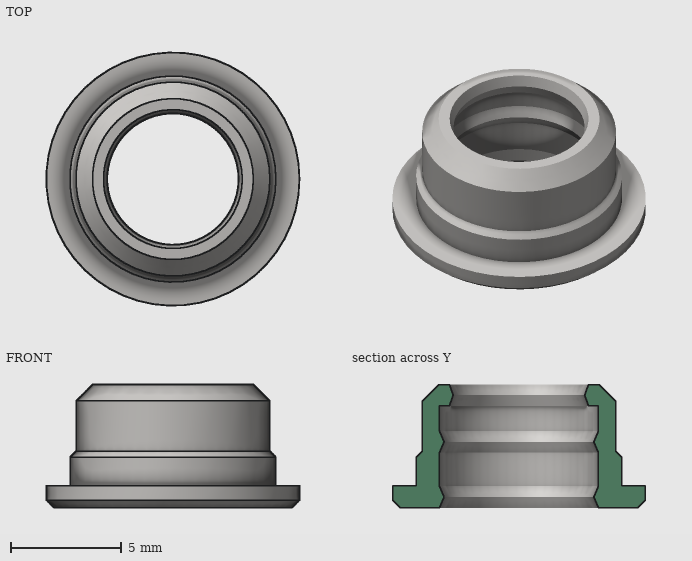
import cadquery as cq

total_height = 5.6
flange_thickness = 1.0
collar_top = 2.3

flange_diameter = 11.5
collar_diameter = 9.35
sleeve_diameter = 8.8
flange_chamfer = 0.35
sleeve_chamfer = 0.75

bore_diameter = 7.2
ridge_half_width = 0.49
ridge_height = 0.21
middle_ridge_top = 3.48

mouth_diameter = 6.3
mouth_ridge_height = 0.175

flange_radius = flange_diameter / 2
collar_radius = collar_diameter / 2
sleeve_radius = sleeve_diameter / 2
bore_radius = bore_diameter / 2
mouth_radius = mouth_diameter / 2
collar_chamfer = collar_radius - sleeve_radius


def outside_points():
    """Outer outline as (radius, height), from the underside up to the top face."""
    return [
        (flange_radius - flange_chamfer, 0),
        (flange_radius, flange_chamfer),
        (flange_radius, flange_thickness),
        (collar_radius, flange_thickness),
        (collar_radius, collar_top),
        (sleeve_radius, collar_top + collar_chamfer),
        (sleeve_radius, total_height - sleeve_chamfer),
        (sleeve_radius - sleeve_chamfer, total_height),
    ]


def ridge_points(base_radius, height_inward, top):
    """One V-shaped ridge pointing at the axis, going down from the height `top`."""
    return [
        (base_radius, top),
        (base_radius - height_inward, top - ridge_half_width),
        (base_radius, top - 2 * ridge_half_width),
    ]


def bore_points():
    """Inner outline as (radius, height), from the top face down to the underside."""
    mouth_step_height = total_height - 2 * ridge_half_width
    bottom_ridge_top = 2 * ridge_half_width
    return [
        *ridge_points(mouth_radius, mouth_ridge_height, total_height),
        (bore_radius, mouth_step_height),
        *ridge_points(bore_radius, ridge_height, middle_ridge_top),
        *ridge_points(bore_radius, ridge_height, bottom_ridge_top),
    ]


profile = cq.Workplane("XZ").polyline(outside_points() + bore_points()).close()
result = profile.revolve(360, (0, 0, 0), (0, 1, 0))